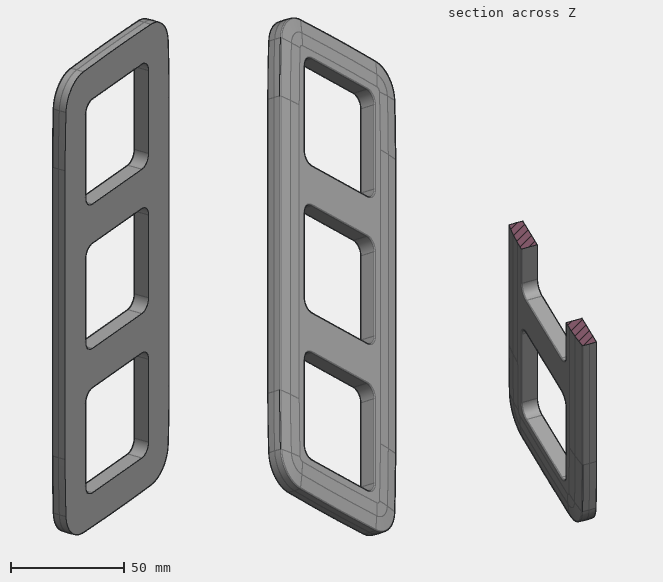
import cadquery as cq
import math

height = 227.9
width = 86.0
thickness = 7.7

side_bow_radius = 569.6
end_bow_radius = 1139.3
corner_radius = 14.8

parting_depth = 3.5
wall_depth = 6.8
wall_draft = 0.11
border_step_depth = 7.5
outer_border = 6.8
inner_border = 6.2
rim_fillet = 0.5

opening_pitch = 71.0
opening_size = 51.7
opening_corner_radius = 5.5
opening_rim_fillet = 0.5
opening_count = 3

straight_half_height = opening_pitch * (opening_count - 1) / 2

side_center_y = width / 2 - side_bow_radius
end_center_z = height / 2 - end_bow_radius

back_x = thickness / 2


def corner_center():
    """Centre of the corner arc that is tangent to the side bow and the end bow."""
    side_reach = side_bow_radius - corner_radius
    end_reach = end_bow_radius - corner_radius

    gap_y = -side_center_y
    gap_z = end_center_z - straight_half_height
    gap = math.hypot(gap_y, gap_z)
    along = (side_reach**2 - end_reach**2 + gap**2) / (2 * gap)
    across = math.sqrt(side_reach**2 - along**2)
    y = side_center_y + (along * gap_y - across * gap_z) / gap
    z = straight_half_height + (along * gap_z + across * gap_y) / gap
    return y, z


def outline(depth, inset):
    """Closed frame outline, moved inwards by inset, at a depth measured from the back."""
    half_width = width / 2 - inset
    half_height = height / 2 - inset
    corner_y, corner_z = corner_center()

    side_angle = math.atan2(corner_z - straight_half_height, corner_y - side_center_y)
    end_angle = math.atan2(corner_z - end_center_z, corner_y)
    corner_angle = (side_angle + end_angle) / 2

    def on_side(angle):
        radius = side_bow_radius - inset
        y = side_center_y + radius * math.cos(angle)
        return y, straight_half_height + radius * math.sin(angle)

    def on_corner(angle):
        radius = corner_radius - inset
        return corner_y + radius * math.cos(angle), corner_z + radius * math.sin(angle)

    def edge_point(point, y_sign, z_sign):
        return cq.Vector(back_x - depth, y_sign * point[0], z_sign * point[1])

    side_start = (half_width, straight_half_height)
    side_middle = on_side(side_angle / 2)
    corner_start = on_corner(side_angle)
    corner_middle = on_corner(corner_angle)
    corner_end = on_corner(end_angle)
    end_middle = (0.0, half_height)

    def side_and_corner(y_sign, z_sign):
        """Side bow and corner arc of one quarter, from the straight side to the end bow."""
        bow = [edge_point(p, y_sign, z_sign) for p in (side_start, side_middle, corner_start)]
        corner = [edge_point(p, y_sign, z_sign) for p in (corner_start, corner_middle, corner_end)]
        return [cq.Edge.makeThreePointArc(*bow), cq.Edge.makeThreePointArc(*corner)]

    def end_bow(z_sign):
        points = [
            edge_point(corner_end, 1, z_sign),
            edge_point(end_middle, 1, z_sign),
            edge_point(corner_end, -1, z_sign),
        ]
        return cq.Edge.makeThreePointArc(*points)

    def straight_side(y_sign):
        return cq.Edge.makeLine(edge_point(side_start, y_sign, -1), edge_point(side_start, y_sign, 1))

    edges = [straight_side(1)] + side_and_corner(1, 1) + [end_bow(1)] + side_and_corner(-1, 1)
    edges += [straight_side(-1)] + side_and_corner(-1, -1) + [end_bow(-1)] + side_and_corner(1, -1)
    return cq.Wire.assembleEdges(edges)


def frame_body():
    """Solid plate: wall drafted to both sides of the parting line, then the two sloped borders."""
    levels = [
        outline(0.0, wall_draft),
        outline(parting_depth, 0.0),
        outline(wall_depth, wall_draft),
        outline(border_step_depth, outer_border),
        outline(thickness, outer_border + inner_border),
    ]
    return cq.Workplane(cq.Solid.makeLoft(levels, True))


def round_rim(body):
    """Round the outer edge where the wall meets the outer sloped border."""
    rim = outline(wall_depth, wall_draft).BoundingBox()
    margin = 0.02
    rim_selector = cq.selectors.BoxSelector(
        (rim.xmin - margin, rim.ymin - margin, rim.zmin - margin),
        (rim.xmax + margin, rim.ymax + margin, rim.zmax + margin),
        boundingbox=True,
    )
    return body.edges(rim_selector).fillet(rim_fillet)


def opening(center_z):
    """Rounded square block that cuts one opening through the full thickness."""
    return (
        cq.Workplane("YZ")
        .box(opening_size, opening_size, 2 * thickness)
        .edges("|X")
        .fillet(opening_corner_radius)
        .translate((0, 0, center_z))
    )


def cut_openings(body):
    """Cut the evenly spaced openings and round their edges on the flat middle of the face."""
    for index in range(opening_count):
        center_z = index * opening_pitch - straight_half_height
        body = body.cut(opening(center_z))
    openings_in_face = body.faces("<X").val().innerWires()
    rim_edges = [edge for wire in openings_in_face for edge in wire.Edges()]
    return body.newObject(rim_edges).fillet(opening_rim_fillet)


result = cut_openings(round_rim(frame_body()))